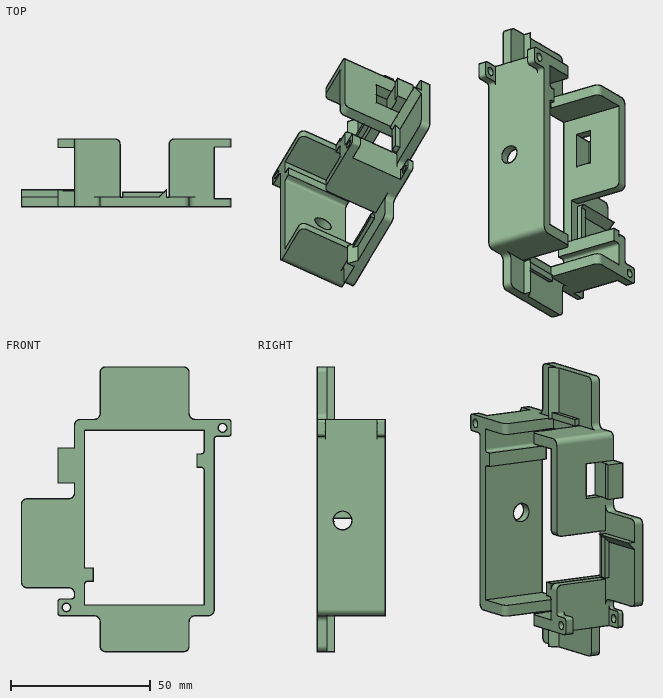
import cadquery as cq

FRAME_WIDTH = 50.0
FRAME_HEIGHT = 70.3
FRAME_DEPTH = 24.3
SIDE_WALL = 3.7
END_WALL = 4.0
FRAME_CORNER_RADIUS = 2.2
HALF_WIDTH = FRAME_WIDTH / 2
HALF_HEIGHT = FRAME_HEIGHT / 2

TAB_WIDTH = 31.9
TAB_THICKNESS = 3.5
TAB_RADIUS = 2.0
TOP_TAB_LENGTH = 18.7
BOTTOM_TAB_LENGTH = 12.8
LEFT_TAB_LENGTH = 18.9
END_TAB_X = 0.1
LEFT_TAB_Z = -9.2
END_GAP_WIDTH = 17.4
LEFT_GAP_WIDTH = 17.7

BAR_LENGTH = 15.7
BAR_HEIGHT = 2.3
BAR_BACK_Y = 5.3
BOTTOM_BAR_BACK_Y = 4.8
RIDGE_BACK_Y = 6.2

RIGHT_EAR_LENGTH = 6.0
LEFT_EAR_LENGTH = 5.9
EAR_HEIGHT = 6.1
EAR_RADIUS = 1.0
EAR_HOLE_INSET = 3.1
RIGHT_HOLE_DIAMETER = 3.1
LEFT_HOLE_DIAMETER = 3.0
RIGHT_EAR_THICKNESS = 3.0
LEFT_BACK_EAR_THICKNESS = 3.2
LEFT_FRONT_EAR_THICKNESS = 1.9

HOOK_LENGTH = LEFT_EAR_LENGTH
HOOK_HEIGHT = 12.6
HOOK_Z = 18.6
HOOK_BACK_Y = 5.6
HOOK_LIP_BACK_Y = 6.2
HOOK_LIP_LENGTH = 1.8
WINDOW_BACK_Y = 11.7

RAIL_HEIGHT = 4.9
RAIL_Z = 20.4
RAIL_FILLET = 1.0
RIGHT_RAIL_PROJECTION = 2.5
LEFT_RAIL_PROJECTION = 3.2

WALL_HOLE_DIAMETER = 6.6
WALL_HOLE_Y = 9.1
WALL_HOLE_Z = -1.0


def block(x_min, x_max, y_min, y_max, z_min, z_max):
    size = (x_max - x_min, y_max - y_min, z_max - z_min)
    return cq.Workplane("XY").box(*size, centered=False).translate((x_min, y_min, z_min))


def xz_outline():
    """Sketch plane at Y = 0; a negative extrusion runs toward +Y."""
    return cq.Workplane("XZ")


def spin(shape, angle):
    """Turn a shape about the Y axis, anticlockwise as seen from the front."""
    return shape.rotate((0, 0, 0), (0, 1, 0), -angle)


def tube():
    outer = block(-HALF_WIDTH, HALF_WIDTH, 0, FRAME_DEPTH, -HALF_HEIGHT, HALF_HEIGHT)
    rounded_corners = outer.edges("(|Y and <X and >Z) or (|Y and >X and <Z)")
    outer = rounded_corners.fillet(FRAME_CORNER_RADIUS)
    inner_x = HALF_WIDTH - SIDE_WALL
    inner_z = HALF_HEIGHT - END_WALL
    return outer.cut(block(-inner_x, inner_x, 0, FRAME_DEPTH, -inner_z, inner_z))


def tab(length, bar_back_y, ridge_side):
    """Tab rising from Z = 0, with its ridge facing away from the centre on ridge_side."""
    half = TAB_WIDTH / 2
    r = TAB_RADIUS
    plate = (
        xz_outline()
        .moveTo(-half - r, 0)
        .radiusArc((-half, r), -r)
        .lineTo(-half, length - r)
        .radiusArc((-half + r, length), r)
        .lineTo(half - r, length)
        .radiusArc((half, length - r), r)
        .lineTo(half, r)
        .radiusArc((half + r, 0), -r)
        .close()
        .extrude(-TAB_THICKNESS)
    )
    half_bar = BAR_LENGTH / 2
    bar = block(-half_bar, half_bar, 0, bar_back_y, 0, BAR_HEIGHT)
    ridge_end = ridge_side * half_bar
    ridge_rise = RIDGE_BACK_Y - TAB_THICKNESS
    ridge = (
        cq.Workplane("XY")
        .moveTo(ridge_end, TAB_THICKNESS)
        .lineTo(ridge_end, RIDGE_BACK_Y)
        .lineTo(ridge_end - ridge_side * ridge_rise, TAB_THICKNESS)
        .close()
        .extrude(length)
    )
    return plate.union(bar).union(ridge)


def wall_gap(width, wall):
    """Cutter for a gap running to the back of a wall just below Z = 0, back corners rounded over."""
    half = width / 2
    r = TAB_RADIUS
    return (
        cq.Workplane("XY")
        .moveTo(-half, TAB_THICKNESS)
        .lineTo(half, TAB_THICKNESS)
        .lineTo(half, FRAME_DEPTH - r)
        .radiusArc((half + r, FRAME_DEPTH), r)
        .lineTo(-half - r, FRAME_DEPTH)
        .radiusArc((-half, FRAME_DEPTH - r), r)
        .close()
        .extrude(-wall)
    )


def ear(length, front_y, thickness, hole_diameter):
    """Ear at the upper right corner of the frame, flush with its top."""
    r = EAR_RADIUS
    tip = HALF_WIDTH + length
    under = HALF_HEIGHT - EAR_HEIGHT
    root = HALF_WIDTH - SIDE_WALL / 2
    body = (
        xz_outline()
        .moveTo(root, HALF_HEIGHT)
        .lineTo(tip - r, HALF_HEIGHT)
        .radiusArc((tip, HALF_HEIGHT - r), r)
        .lineTo(tip, under + r)
        .radiusArc((tip - r, under), r)
        .lineTo(HALF_WIDTH + r, under)
        .radiusArc((HALF_WIDTH, under - r), -r)
        .lineTo(root, under - r)
        .close()
        .extrude(-thickness)
    )
    hole = (
        xz_outline()
        .center(tip - EAR_HOLE_INSET, HALF_HEIGHT - EAR_HOLE_INSET)
        .circle(hole_diameter / 2)
        .extrude(-thickness)
    )
    return body.cut(hole).translate((0, front_y, 0))


def rail(projection, fillets):
    """Rail on the inside of the right wall, with a root fillet on each listed side (+1 up, -1 down)."""
    wall_x = HALF_WIDTH - SIDE_WALL
    half = RAIL_HEIGHT / 2
    r = RAIL_FILLET
    body = block(wall_x - projection, wall_x, 0, FRAME_DEPTH, RAIL_Z - half, RAIL_Z + half)
    for side in fillets:
        edge_z = RAIL_Z + side * half
        corner = (
            xz_outline()
            .moveTo(wall_x, edge_z)
            .lineTo(wall_x - r, edge_z)
            .radiusArc((wall_x, edge_z + side * r), -side * r)
            .close()
            .extrude(-FRAME_DEPTH)
        )
        body = body.union(corner)
    return body


def hook():
    tip = -HALF_WIDTH - HOOK_LENGTH
    z_min = HOOK_Z - HOOK_HEIGHT / 2
    z_max = HOOK_Z + HOOK_HEIGHT / 2
    body = block(tip, -HALF_WIDTH, 0, HOOK_BACK_Y, z_min, z_max)
    return body.union(block(tip, tip + HOOK_LIP_LENGTH, 0, HOOK_LIP_BACK_Y, z_min, z_max))


def hook_window():
    z_min = HOOK_Z - HOOK_HEIGHT / 2
    z_max = HOOK_Z + HOOK_HEIGHT / 2
    return block(-HALF_WIDTH, SIDE_WALL - HALF_WIDTH, HOOK_BACK_Y, WINDOW_BACK_Y, z_min, z_max)


def wall_hole():
    return (
        cq.Workplane("YZ", origin=(HALF_WIDTH - SIDE_WALL, 0, 0))
        .center(WALL_HOLE_Y, WALL_HOLE_Z)
        .circle(WALL_HOLE_DIAMETER / 2)
        .extrude(SIDE_WALL)
    )


result = tube()
result = result.union(rail(RIGHT_RAIL_PROJECTION, (1, -1)))
result = result.union(spin(rail(LEFT_RAIL_PROJECTION, (1,)), 180))

end_gap = wall_gap(END_GAP_WIDTH, END_WALL)
left_gap = wall_gap(LEFT_GAP_WIDTH, SIDE_WALL)
top_tab = tab(TOP_TAB_LENGTH, BAR_BACK_Y, 1)
left_tab = tab(LEFT_TAB_LENGTH, BAR_BACK_Y, 1)
bottom_tab = tab(BOTTOM_TAB_LENGTH, BOTTOM_BAR_BACK_Y, -1)
tabbed_walls = [
    (0, (END_TAB_X, 0, HALF_HEIGHT), end_gap, top_tab),
    (90, (-HALF_WIDTH, 0, LEFT_TAB_Z), left_gap, left_tab),
    (180, (END_TAB_X, 0, -HALF_HEIGHT), end_gap, bottom_tab),
]
for angle, root, gap_cutter, tab_shape in tabbed_walls:
    result = result.cut(spin(gap_cutter, angle).translate(root))
    result = result.union(spin(tab_shape, angle).translate(root))

right_back_y = FRAME_DEPTH - RIGHT_EAR_THICKNESS
for front_y in (0, right_back_y):
    result = result.union(ear(RIGHT_EAR_LENGTH, front_y, RIGHT_EAR_THICKNESS, RIGHT_HOLE_DIAMETER))

left_back_y = FRAME_DEPTH - LEFT_BACK_EAR_THICKNESS
for front_y, thickness in ((0, LEFT_FRONT_EAR_THICKNESS), (left_back_y, LEFT_BACK_EAR_THICKNESS)):
    left_ear = ear(LEFT_EAR_LENGTH, front_y, thickness, LEFT_HOLE_DIAMETER)
    result = result.union(spin(left_ear, 180))

result = result.cut(hook_window()).union(hook())
result = result.cut(wall_hole())